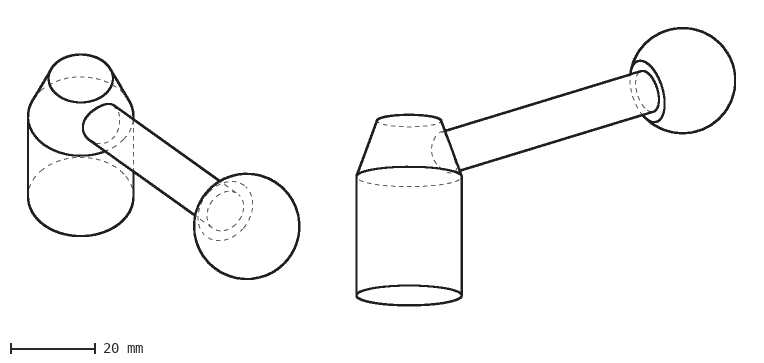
import cadquery as cq
import math

overall_length = 97.5
overall_height = 70.5
hub_diameter = 25.0
hub_straight_height = 28.6
hub_height = 42.0
hub_top_diameter = 15.2
rod_diameter = 10.0
rod_angle = 20.0
ball_diameter = 25.0
ball_flat_diameter = 15.0

hub_radius = hub_diameter / 2
hub_top_radius = hub_top_diameter / 2
ball_radius = ball_diameter / 2
ball_x = overall_length - hub_radius - ball_radius
ball_z = overall_height - ball_radius
ball_flat_offset = math.sqrt(ball_radius**2 - (ball_flat_diameter / 2) ** 2)
rod_length = ball_x / math.cos(math.radians(rod_angle))
rod_start_z = ball_z - ball_x * math.tan(math.radians(rod_angle))


def make_hub():
    """Upright cylinder with a conical top."""
    return (
        cq.Workplane("XZ")
        .polyline([
            (0, 0),
            (hub_radius, 0),
            (hub_radius, hub_straight_height),
            (hub_top_radius, hub_height),
            (0, hub_height),
        ])
        .close()
        .revolve(360, (0, 0), (0, 1))
    )


def make_lever():
    """Rod and flat-faced ball, made along +X and then tilted up from the hub axis."""
    rod = cq.Workplane("YZ").circle(rod_diameter / 2).extrude(rod_length)
    ball = (
        cq.Workplane("XY")
        .moveTo(rod_length - ball_flat_offset, 0)
        .lineTo(rod_length - ball_flat_offset, ball_flat_diameter / 2)
        .threePointArc((rod_length, ball_radius), (rod_length + ball_radius, 0))
        .close()
        .revolve(360, (0, 0), (1, 0))
    )
    lever = rod.union(ball)
    return lever.rotate((0, 0, 0), (0, 1, 0), -rod_angle).translate((0, 0, rod_start_z))


result = make_hub().union(make_lever())